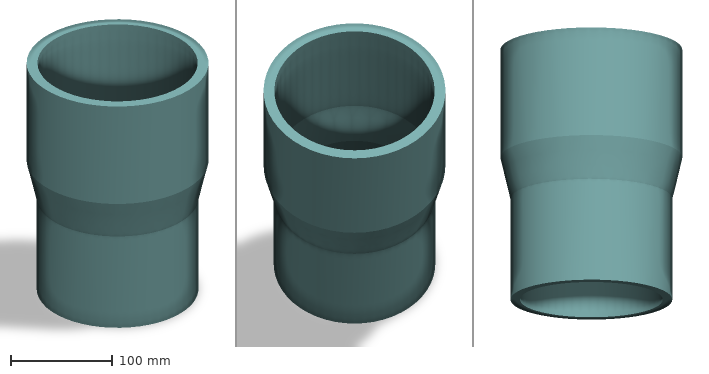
import cadquery as cq

total_height = 255.0
large_diameter = 180.0
small_diameter = 160.1
large_wall = 10.7
small_wall = 9.5
small_length = 103.0
taper_length = 42.0

large_radius = large_diameter / 2
small_radius = small_diameter / 2
large_bore_radius = large_radius - large_wall
small_bore_radius = small_radius - small_wall
taper_top = small_length + taper_length

section = (
    cq.Workplane("XZ")
    .moveTo(small_radius, 0)
    .lineTo(small_radius, small_length)
    .lineTo(large_radius, taper_top)
    .lineTo(large_radius, total_height)
    .lineTo(large_bore_radius, total_height)
    .lineTo(large_bore_radius, taper_top)
    .lineTo(small_bore_radius, small_length)
    .lineTo(small_bore_radius, 0)
    .close()
)

result = section.revolve(360, (0, 0, 0), (0, 1, 0))